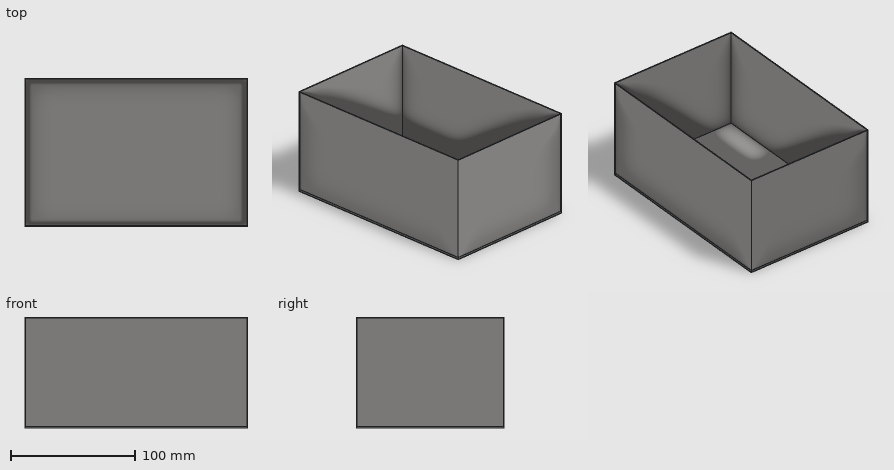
import cadquery as cq

LENGTH_X = 179.0
WIDTH_Y = 119.0
HEIGHT_Z = 89.0

WALL = 0.5
FLOOR = 1.5


def upright_block(length, width, height, base_z):
    """Block centred on the Z axis with its underside at base_z."""
    return (
        cq.Workplane("XY")
        .workplane(offset=base_z)
        .rect(length, width)
        .extrude(height)
    )


outer = upright_block(LENGTH_X, WIDTH_Y, HEIGHT_Z, 0)
cavity = upright_block(LENGTH_X - 2 * WALL, WIDTH_Y - 2 * WALL, HEIGHT_Z - FLOOR, FLOOR)

result = outer.cut(cavity)